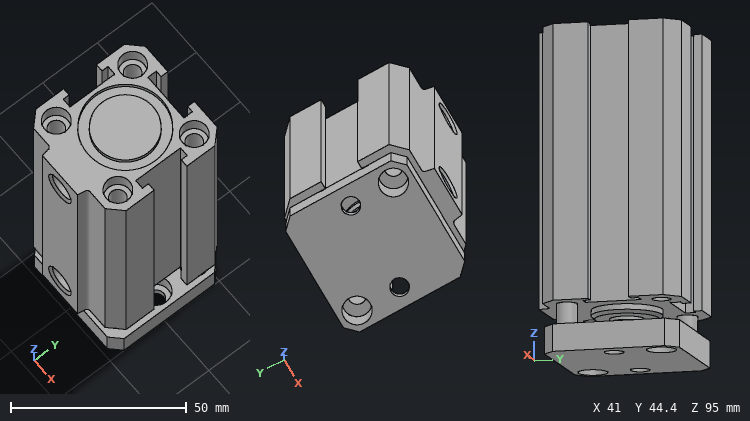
import cadquery as cq

TOTAL_HEIGHT = 95.0
PLATE_THICKNESS = 8.0
PLATE_GAP = 6.7
HOUSING_BOTTOM = PLATE_THICKNESS + PLATE_GAP
HOUSING_HEIGHT = TOTAL_HEIGHT - HOUSING_BOTTOM

HOUSING_WIDTH = 41.0
HOUSING_CHAMFER = 4.3
RIDGE_HEIGHT = 3.4
RIDGE_TIP_WIDTH = 15.9
RIDGE_ROOT_WIDTH = 17.1
RIDGE_FILLET = 1.0

SLOT_OPENING = 12.0
SLOT_INNER_WIDTH = 16.3
SLOT_LIP = 2.6
SLOT_DEPTH = 5.6
SLOT_DIRECTIONS = (0, 90, 180)

CORNER_OFFSET = 14.0
BOLT_HOLE_DIAMETER = 5.3
BOLT_HEAD_DIAMETER = 8.5
BOLT_HEAD_DEPTH = 5.4
CORNERS = [(x * CORNER_OFFSET, y * CORNER_OFFSET) for x in (-1, 1) for y in (-1, 1)]

GROOVE_OUTER_DIAMETER = 27.1
GROOVE_INNER_DIAMETER = 20.5
GROOVE_DEPTH = 1.5

COLLAR_DIAMETER = 20.5
COLLAR_HEIGHT = 2.6
COLLAR_CHAMFER = 0.95

PORT_DIAMETER = 8.55
PORT_MOUTH_DIAMETER = 10.2
PORT_DEPTH = 10.0
UPPER_PORT_END_DISTANCE = 9.2
LOWER_PORT_END_DISTANCE = 8.9
PORT_CHAMFER = (PORT_MOUTH_DIAMETER - PORT_DIAMETER) / 2

PLATE_WIDTH = 39.9
PLATE_CHAMFER = 3.4
MOUNT_HOLE_DIAMETER = 5.5
MOUNT_HEAD_DIAMETER = 9.0
MOUNT_HEAD_DEPTH = 5.4
ACCESS_HOLE_DIAMETER = 8.55
GUIDE_ROD_DIAMETER = 6.0
PISTON_ROD_DIAMETER = 10.0
PISTON_ROD_CHAMFER = 0.4
WRENCH_FLAT_WIDTH = 8.0
WRENCH_FLAT_TOP_GAP = 0.95


def chamfered_block(width, height, chamfer, bottom):
    block = cq.Workplane("XY").workplane(offset=bottom).rect(width, width).extrude(height)
    return block.edges("|Z").chamfer(chamfer)


def upright_cylinder(diameter, bottom, top, points=((0, 0),)):
    plane = cq.Workplane("XY").workplane(offset=bottom)
    return plane.pushPoints(points).circle(diameter / 2).extrude(top - bottom)


def counterbored_holes(points, hole_diameter, head_diameter, head_depth, bottom, top):
    shafts = upright_cylinder(hole_diameter, bottom, top, points)
    heads = upright_cylinder(head_diameter, top - head_depth, top, points)
    return shafts.union(heads)


def make_ridge():
    """Tapered ridge along the front face, filleted into it at the root."""
    face = -HOUSING_WIDTH / 2
    tip = face - RIDGE_HEIGHT
    back = face + HOUSING_CHAMFER
    half_wide = HOUSING_WIDTH / 2 - HOUSING_CHAMFER
    profile = [
        (-half_wide, back),
        (-half_wide, face),
        (-RIDGE_ROOT_WIDTH / 2, face),
        (-RIDGE_TIP_WIDTH / 2, tip),
        (RIDGE_TIP_WIDTH / 2, tip),
        (RIDGE_ROOT_WIDTH / 2, face),
        (half_wide, face),
        (half_wide, back),
    ]
    plane = cq.Workplane("XY").workplane(offset=HOUSING_BOTTOM)
    ridge = plane.polyline(profile).close().extrude(HOUSING_HEIGHT)
    middle = HOUSING_BOTTOM + HOUSING_HEIGHT / 2
    for side in (-1, 1):
        root = cq.selectors.NearestToPointSelector((side * RIDGE_ROOT_WIDTH / 2, face, middle))
        ridge = ridge.edges(root).fillet(RIDGE_FILLET)
    return ridge


def make_slot(direction):
    """T-slot cut inwards from the right face, turned about Z to its own face."""
    face = HOUSING_WIDTH / 2
    plane = cq.Workplane("XY").workplane(offset=HOUSING_BOTTOM)
    mouth = plane.center(face - SLOT_DEPTH / 2, 0).rect(SLOT_DEPTH, SLOT_OPENING).extrude(HOUSING_HEIGHT)
    inner_depth = SLOT_DEPTH - SLOT_LIP
    inner_center = face - SLOT_LIP - inner_depth / 2
    inner = plane.center(inner_center, 0).rect(inner_depth, SLOT_INNER_WIDTH).extrude(HOUSING_HEIGHT)
    return mouth.union(inner).rotate((0, 0, 0), (0, 0, 1), direction)


def make_port(height):
    """Blind port with a conical mouth, bored in +Y from the ridge tip."""
    tip = -HOUSING_WIDTH / 2 - RIDGE_HEIGHT
    section = [
        (0, tip),
        (PORT_MOUTH_DIAMETER / 2, tip),
        (PORT_DIAMETER / 2, tip + PORT_CHAMFER),
        (PORT_DIAMETER / 2, tip + PORT_DEPTH),
        (0, tip + PORT_DEPTH),
    ]
    port = cq.Workplane("XY").polyline(section).close().revolve(360, (0, 0), (0, 1))
    return port.translate((0, 0, height))


def make_collar():
    collar = upright_cylinder(COLLAR_DIAMETER, HOUSING_BOTTOM - COLLAR_HEIGHT, HOUSING_BOTTOM)
    return collar.faces("<Z").chamfer(COLLAR_CHAMFER)


def make_housing():
    housing = chamfered_block(HOUSING_WIDTH, HOUSING_HEIGHT, HOUSING_CHAMFER, HOUSING_BOTTOM)
    housing = housing.union(make_ridge()).union(make_collar())
    for direction in SLOT_DIRECTIONS:
        housing = housing.cut(make_slot(direction))
    housing = housing.cut(
        counterbored_holes(
            CORNERS, BOLT_HOLE_DIAMETER, BOLT_HEAD_DIAMETER, BOLT_HEAD_DEPTH, HOUSING_BOTTOM, TOTAL_HEIGHT
        )
    )
    groove_floor = TOTAL_HEIGHT - GROOVE_DEPTH
    groove = upright_cylinder(GROOVE_OUTER_DIAMETER, groove_floor, TOTAL_HEIGHT)
    groove = groove.cut(upright_cylinder(GROOVE_INNER_DIAMETER, groove_floor, TOTAL_HEIGHT))
    housing = housing.cut(groove)
    for height in (HOUSING_BOTTOM + LOWER_PORT_END_DISTANCE, TOTAL_HEIGHT - UPPER_PORT_END_DISTANCE):
        housing = housing.cut(make_port(height))
    return housing


def make_piston_rod():
    """Short rod from the plate up to the collar, with a wrench flat on each X side."""
    top = HOUSING_BOTTOM - COLLAR_HEIGHT
    rod = upright_cylinder(PISTON_ROD_DIAMETER, PLATE_THICKNESS, top)
    rod = rod.faces("<Z").chamfer(PISTON_ROD_CHAMFER)
    flat_height = top - WRENCH_FLAT_TOP_GAP - PLATE_THICKNESS
    flat_depth = (PISTON_ROD_DIAMETER - WRENCH_FLAT_WIDTH) / 2
    for side in (-1, 1):
        flat = cq.Workplane("XY").workplane(offset=PLATE_THICKNESS)
        flat = flat.center(side * (WRENCH_FLAT_WIDTH + flat_depth) / 2, 0)
        rod = rod.cut(flat.rect(flat_depth, PISTON_ROD_DIAMETER).extrude(flat_height))
    return rod


def make_slide():
    """End plate with its piston rod and two diagonal guide rods; the rods end against the housing."""
    slide = chamfered_block(PLATE_WIDTH, PLATE_THICKNESS, PLATE_CHAMFER, 0)
    mount_points = [(-CORNER_OFFSET, 0), (CORNER_OFFSET, 0)]
    slide = slide.cut(
        counterbored_holes(
            mount_points, MOUNT_HOLE_DIAMETER, MOUNT_HEAD_DIAMETER, MOUNT_HEAD_DEPTH, 0, PLATE_THICKNESS
        )
    )
    access_points = [(-CORNER_OFFSET, -CORNER_OFFSET), (CORNER_OFFSET, CORNER_OFFSET)]
    slide = slide.cut(upright_cylinder(ACCESS_HOLE_DIAMETER, 0, PLATE_THICKNESS, access_points))
    guide_points = [(-CORNER_OFFSET, CORNER_OFFSET), (CORNER_OFFSET, -CORNER_OFFSET)]
    guides = upright_cylinder(GUIDE_ROD_DIAMETER, PLATE_THICKNESS, HOUSING_BOTTOM, guide_points)
    return slide.union(guides).union(make_piston_rod())


housing = make_housing()
slide = make_slide()

result = cq.Compound.makeCompound([housing.solids().val(), slide.solids().val()])